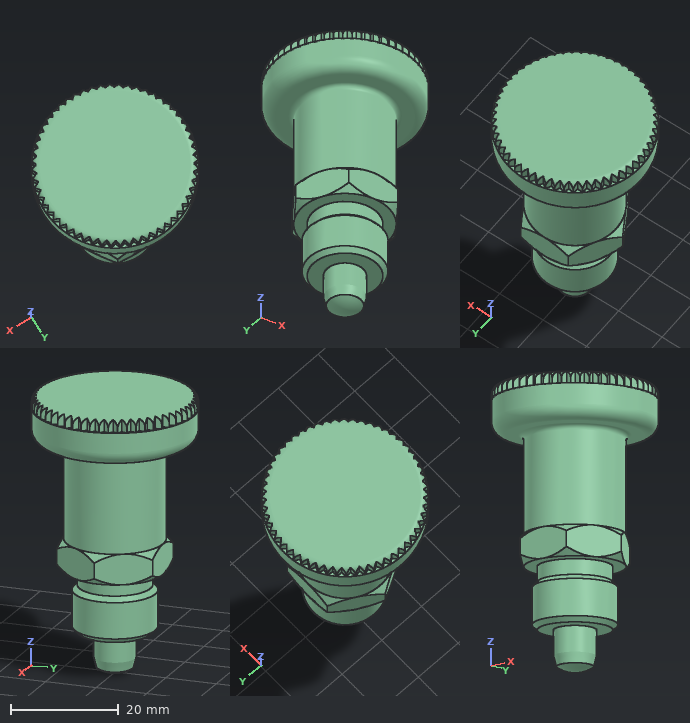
import cadquery as cq
import math


total_height = 54.0
hex_top = 26.0
hex_height = 6.0
hex_bottom = hex_top - hex_height
body_bottom = 8.0

knob_radius = 15.5
knob_height = 9.0
knob_bottom = total_height - knob_height
knob_top_fillet = 1.5
knob_bottom_fillet = 2.55
sleeve_radius = 9.5
sleeve_fillet = 1.0

groove_count = 56
groove_depth = 0.85
groove_angle = 90.0
groove_length = 2.5
groove_overshoot = 0.55

pin_radius = 4.0
pin_taper_start = 3.0
dome_height = 1.0
dome_radius = 3.5

hex_sides = 6
hex_across_flats = 2 * sleeve_radius
relief_radius = 7.0
thread_radius = 8.0
thread_chamfer = 0.95
thread_top = 16.05


def revolved(outline):
    """Turn a closed (radius, Z) outline about the Z axis."""
    return outline.close().revolve(360, (0, 0, 0), (0, 1, 0))


def knurl_groove():
    """Vertical V groove in the knob rim on the +X side, open at the top."""
    cutter_depth = groove_depth + groove_overshoot
    half_width = cutter_depth * math.tan(math.radians(groove_angle / 2))
    root_radius = knob_radius - groove_depth
    return (
        cq.Workplane("XY", origin=(0, 0, total_height - groove_length))
        .moveTo(root_radius, 0)
        .lineTo(root_radius + cutter_depth, half_width)
        .lineTo(root_radius + cutter_depth, -half_width)
        .close()
        .extrude(groove_length + groove_overshoot)
    )


def make_plunger():
    """Knob with rounded edges, sleeve down to the hexagon, and pin with a tapered, domed nose."""
    sphere_radius = (dome_radius**2 + dome_height**2) / (2 * dome_height)
    half_angle = math.asin(dome_radius / sphere_radius) / 2
    dome_middle = (
        sphere_radius * math.sin(half_angle),
        sphere_radius * (1 - math.cos(half_angle)),
    )
    plunger = revolved(
        cq.Workplane("XZ")
        .moveTo(0, total_height)
        .lineTo(knob_radius - knob_top_fillet, total_height)
        .radiusArc((knob_radius, total_height - knob_top_fillet), knob_top_fillet)
        .lineTo(knob_radius, knob_bottom + knob_bottom_fillet)
        .radiusArc((knob_radius - knob_bottom_fillet, knob_bottom), knob_bottom_fillet)
        .lineTo(sleeve_radius + sleeve_fillet, knob_bottom)
        .radiusArc((sleeve_radius, knob_bottom - sleeve_fillet), -sleeve_fillet)
        .lineTo(sleeve_radius, hex_top)
        .lineTo(pin_radius, hex_top)
        .lineTo(pin_radius, pin_taper_start)
        .lineTo(dome_radius, dome_height)
        .threePointArc(dome_middle, (0, 0))
    )
    groove = knurl_groove().val()
    grooves = [
        groove.rotate((0, 0, 0), (0, 0, 1), index * 360 / groove_count)
        for index in range(groove_count)
    ]
    return plunger.cut(cq.Workplane(cq.Compound.makeCompound(grooves)))


def make_hexagon():
    """Hexagon with corners on the X axis, its corners turned off at 45 degrees at both ends."""
    corner_radius = hex_across_flats / 2 / math.cos(math.pi / hex_sides)
    corner_chamfer = corner_radius - sleeve_radius
    prism = (
        cq.Workplane("XY", origin=(0, 0, hex_bottom))
        .polygon(hex_sides, 2 * corner_radius)
        .extrude(hex_height)
    )
    chamfered_blank = (
        cq.Workplane("XY", origin=(0, 0, hex_bottom))
        .circle(corner_radius)
        .extrude(hex_height)
        .edges()
        .chamfer(corner_chamfer)
    )
    return prism.intersect(chamfered_blank)


def make_body():
    """Hexagon above a relief groove and a chamfered thread blank, bored through for the pin."""
    shank = revolved(
        cq.Workplane("XZ")
        .moveTo(0, hex_bottom)
        .lineTo(relief_radius, hex_bottom)
        .lineTo(relief_radius, thread_top + thread_radius - relief_radius)
        .lineTo(thread_radius, thread_top)
        .lineTo(thread_radius, body_bottom + thread_chamfer)
        .lineTo(thread_radius - thread_chamfer, body_bottom)
        .lineTo(0, body_bottom)
    )
    pin_bore = (
        cq.Workplane("XY", origin=(0, 0, body_bottom))
        .circle(pin_radius)
        .extrude(hex_top - body_bottom)
    )
    return make_hexagon().union(shank).cut(pin_bore)


plunger = make_plunger()
body = make_body()

result = cq.Compound.makeCompound([plunger.solids().val(), body.solids().val()])